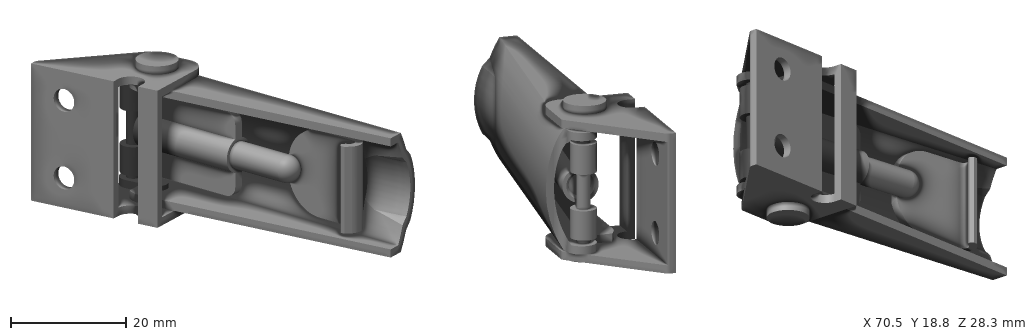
import cadquery as cq
import math


sheet = 1.5
pivot_x = 19.45
pivot_y = 10.1
hinge_x = 13.05
hinge_y = 12.5
lever_tilt = 7.5
slope = math.tan(math.radians(lever_tilt))

bracket_length = 25.9
bracket_height = 16.15
bracket_half_width = 12.65
bracket_slant_x = 14.1
bracket_slant_y = 1.5
bracket_top_round = 3.75
bracket_corner_round = 1.0
keeper_slot_width = 5.0
keeper_slot_height = 4.0
screw_hole_diameter = 4.2
screw_hole_x = 6.75
screw_hole_z = 7.15

stud_diameter = 4.0
stud_head_diameter = 7.5
stud_head_height = 1.5
stud_end_z = 8.6

lever_half_width = 11.0
lever_end_x = 70.5
lever_bottom_y = 5.05
lever_back_x = 14.87
back_rise = 6.46
shoulder_rise = 3.35
lug_radius = 2.63
lug_center_y = 12.83
lug_fillet = lever_back_x - hinge_x
neck_x = 16.3
hinge_pin_diameter = 2.5

thumb_start_x = 58.0
thumb_crest_y = 12.95
thumb_edge_y = 11.47
thumb_edge_z = 6.07
thumb_inner_edge_y = 10.14
thumb_inner_edge_z = 5.0
thumb_flank_drop = 1.95

pad_start = 41.6
pad_end = 48.4
pad_half_width = 8.6
pad_depth = 0.85

knuckle_radius = 2.33
knuckle_inner_z = 3.3
knuckle_outer_z = 8.6
plate_half_width = 7.75
plate_thickness = 1.8
plate_corner_round = 2.0
tube_start = 2.6
tube_end = 23.75
tube_diameter = 6.4
tube_bore = 4.0
bore_mouth_diameter = 5.0
bore_mouth_depth = 0.5

rod_diameter = 5.0
rod_tip = 37.15
claw_half_width = 8.0
claw_start_x = 46.8
claw_corner_round = 7.0
claw_thickness = 1.4
curl_x = 61.0
curl_y = 6.6
curl_inner_radius = 1.0
curl_outer_radius = curl_inner_radius + claw_thickness
hook_left_x = 60.45
hook_top_y = 4.97
hook_shoulder_y = 4.6
hook_foot_start_x = 60.9
hook_foot_end_x = 61.65
hook_foot_y = 4.05


def extrude_both_sides(sketch, half_width):
    return sketch.extrude(half_width, both=True)


def onto_slope(shape):
    """Move a shape built along X from the origin onto the slope at the hinge axis."""
    return shape.rotate((0, 0, 0), (0, 0, 1), -lever_tilt).translate((hinge_x, hinge_y, 0))


def mirrored_rod(x, y, diameter, inner_z, outer_z):
    """Two equal round bars along Z, one on each side of Z = 0."""
    bar = cq.Workplane("XY", origin=(x, y, inner_z)).circle(diameter / 2).extrude(outer_z - inner_z)
    return bar.union(bar.mirror("XY"))


def arched_section(plane_x, length, crest_y, edge_y, half_width, foot_y, foot_half_width):
    """Bar along X with an arched top, its flanks running from the arch edges to the foot."""
    return (
        cq.Workplane("YZ", origin=(plane_x, 0, 0))
        .moveTo(foot_y, -foot_half_width)
        .lineTo(edge_y, -half_width)
        .threePointArc((crest_y, 0), (edge_y, half_width))
        .lineTo(foot_y, foot_half_width)
        .close()
        .extrude(length)
    )


def make_bracket():
    side = (
        cq.Workplane("XY")
        .polyline([
            (0, 0),
            (bracket_length, 0),
            (bracket_length, bracket_height),
            (bracket_slant_x, bracket_height),
            (0, bracket_slant_y),
        ])
        .close()
    )
    bracket = extrude_both_sides(side, bracket_half_width)
    bracket = bracket.edges("|Z").edges(">X and >Y").fillet(bracket_top_round)
    margin = 0.1
    slant_ends = cq.selectors.BoxSelector(
        (-margin, bracket_slant_y - margin, -margin),
        (bracket_slant_x + margin, bracket_height + margin, margin),
    )
    bracket = bracket.edges("|Z").edges(slant_ends).fillet(bracket_corner_round)

    inside_half_width = bracket_half_width - sheet
    inside = cq.Workplane("XY").box(
        3 * bracket_length, bracket_height, 2 * inside_half_width, centered=(True, False, True)
    )
    bracket = bracket.cut(inside.translate((0, sheet, 0)))

    slot_radius = keeper_slot_width / 2
    slot = (
        cq.Workplane("XY")
        .moveTo(pivot_x - slot_radius, 0)
        .lineTo(pivot_x - slot_radius, keeper_slot_height - slot_radius)
        .threePointArc(
            (pivot_x, keeper_slot_height),
            (pivot_x + slot_radius, keeper_slot_height - slot_radius),
        )
        .lineTo(pivot_x + slot_radius, 0)
        .close()
    )
    bracket = bracket.cut(extrude_both_sides(slot, bracket_half_width))

    screw_holes = (
        cq.Workplane("XZ")
        .pushPoints([(screw_hole_x, -screw_hole_z), (screw_hole_x, screw_hole_z)])
        .circle(screw_hole_diameter / 2)
        .extrude(-sheet)
    )
    bracket = bracket.cut(screw_holes)

    shanks = mirrored_rod(pivot_x, pivot_y, stud_diameter, stud_end_z, bracket_half_width)
    heads = mirrored_rod(
        pivot_x, pivot_y, stud_head_diameter,
        bracket_half_width, bracket_half_width + stud_head_height,
    )
    return bracket.union(shanks).union(heads)


def lever_side_outline():
    """Side outline: round neck about the pivot, hinge lug, and a back left tall for trimming."""
    neck_radius = pivot_y - lever_bottom_y
    neck_y = pivot_y - math.sqrt(neck_radius**2 - (pivot_x - neck_x)**2)
    mid_angle = (math.asin((pivot_x - neck_x) / neck_radius)) / 2
    neck_mid = (
        pivot_x - neck_radius * math.sin(mid_angle),
        pivot_y - neck_radius * math.cos(mid_angle),
    )
    lug_top = lug_center_y + lug_radius
    lug_bottom = lug_center_y - lug_radius
    fillet_reach = lug_fillet * math.sqrt(0.5)
    above_back = hinge_y + 2 * back_rise
    return (
        cq.Workplane("XY")
        .moveTo(pivot_x, lever_bottom_y)
        .lineTo(lever_end_x, lever_bottom_y)
        .lineTo(lever_end_x, above_back)
        .lineTo(lever_back_x, above_back)
        .lineTo(lever_back_x, lug_top + lug_fillet)
        .threePointArc(
            (hinge_x + fillet_reach, lug_top + lug_fillet - fillet_reach), (hinge_x, lug_top)
        )
        .threePointArc((hinge_x - lug_radius, lug_center_y), (hinge_x, lug_bottom))
        .lineTo(neck_x, lug_bottom)
        .lineTo(neck_x, neck_y)
        .threePointArc(neck_mid, (pivot_x, lever_bottom_y))
        .close()
    )


def inner_back_rise(z):
    """Height of the inner surface of the lever's back above the hinge axis at the offset z."""
    arch_height = back_rise - shoulder_rise
    arch_radius = (lever_half_width**2 + arch_height**2) / (2 * arch_height)
    return back_rise - arch_radius + math.sqrt((arch_radius - sheet)**2 - z**2)


def make_backing_pad():
    overlap = sheet / 2
    crest = back_rise - sheet
    edge = inner_back_rise(pad_half_width)
    pad = (
        cq.Workplane("YZ", origin=(pad_start, 0, 0))
        .moveTo(edge, -pad_half_width)
        .threePointArc((crest - pad_depth, 0), (edge, pad_half_width))
        .lineTo(edge + overlap, pad_half_width)
        .threePointArc((crest + overlap, 0), (edge + overlap, -pad_half_width))
        .close()
        .extrude(pad_end - pad_start)
    )
    return onto_slope(pad)


def make_lever():
    overrun = 10.0
    length = lever_end_x + overrun
    foot = -2 * back_rise
    inner_half_width = lever_half_width - sheet
    inner_shoulder = inner_back_rise(inner_half_width)

    envelope = onto_slope(arched_section(
        -overrun, length, back_rise, shoulder_rise, lever_half_width, foot, lever_half_width
    ))
    hollow = onto_slope(arched_section(
        -overrun, length, back_rise - sheet, inner_shoulder, inner_half_width, foot, inner_half_width
    ))
    thumb_length = lever_end_x - thumb_start_x
    thumb_rest = arched_section(
        thumb_start_x, thumb_length, thumb_crest_y, thumb_edge_y, thumb_edge_z,
        thumb_edge_y - thumb_flank_drop, thumb_edge_z + thumb_flank_drop,
    )
    thumb_hollow = arched_section(
        thumb_start_x, thumb_length, thumb_crest_y - sheet, thumb_inner_edge_y, thumb_inner_edge_z,
        thumb_inner_edge_y - thumb_flank_drop, thumb_inner_edge_z + thumb_flank_drop,
    )

    outside = envelope.union(thumb_rest)
    lever = extrude_both_sides(lever_side_outline(), lever_half_width).intersect(outside)
    lever = lever.cut(hollow).cut(thumb_hollow).union(make_backing_pad())

    pivot_hole = cq.Workplane("XY").center(pivot_x, pivot_y).circle(stud_diameter / 2)
    lever = lever.cut(extrude_both_sides(pivot_hole, lever_half_width))

    hinge_pin = cq.Workplane("XY").center(hinge_x, hinge_y).circle(hinge_pin_diameter / 2)
    return lever.union(extrude_both_sides(hinge_pin, lever_half_width))


def make_yoke():
    plate = (
        cq.Workplane("XZ")
        .rect(2 * tube_end, 2 * plate_half_width)
        .extrude(plate_thickness / 2, both=True)
        .edges("|Y and >X")
        .fillet(plate_corner_round)
    )
    behind_hinge = cq.Workplane("XY").box(
        2 * tube_end, 2 * tube_diameter, 2 * knuckle_outer_z
    ).translate((-tube_end, 0, 0))
    gap = cq.Workplane("XY").box(2 * tube_start, 2 * tube_diameter, 2 * knuckle_inner_z)
    tube = (
        cq.Workplane("YZ", origin=(tube_start, 0, 0))
        .circle(tube_diameter / 2)
        .extrude(tube_end - tube_start)
    )
    bore = (
        cq.Workplane("XY")
        .moveTo(tube_start, 0)
        .lineTo(tube_start, bore_mouth_diameter / 2)
        .lineTo(tube_start + bore_mouth_depth, tube_bore / 2)
        .lineTo(tube_end, tube_bore / 2)
        .lineTo(tube_end, 0)
        .close()
        .revolve(360, (0, 0, 0), (1, 0, 0))
    )
    knuckles = mirrored_rod(0, 0, 2 * knuckle_radius, knuckle_inner_z, knuckle_outer_z)
    pin_hole = extrude_both_sides(cq.Workplane("XY").circle(hinge_pin_diameter / 2), knuckle_outer_z)
    yoke = plate.cut(behind_hinge).union(knuckles).cut(gap).union(tube)
    return onto_slope(yoke.cut(bore).cut(pin_hole))


def make_rod():
    """Rod with a domed tip and a thinner shank that fills the bore of the yoke's tube."""
    radius = rod_diameter / 2
    dome_start = rod_tip - radius
    dome_reach = radius * math.sqrt(0.5)
    rod = (
        cq.Workplane("XY")
        .moveTo(tube_start + bore_mouth_depth, 0)
        .lineTo(tube_start + bore_mouth_depth, tube_bore / 2)
        .lineTo(tube_end, tube_bore / 2)
        .lineTo(tube_end, radius)
        .lineTo(dome_start, radius)
        .threePointArc((dome_start + dome_reach, dome_reach), (rod_tip, 0))
        .close()
        .revolve(360, (0, 0, 0), (1, 0, 0))
    )
    return onto_slope(rod)


def make_claw():
    run = curl_x - claw_start_x

    def on_curl(radius, degrees):
        angle = math.radians(degrees)
        return (curl_x + radius * math.cos(angle), curl_y + radius * math.sin(angle))

    flat_end = 90 - lever_tilt
    inner_start = on_curl(curl_inner_radius, flat_end)
    outer_start = on_curl(curl_outer_radius, flat_end)
    profile = (
        cq.Workplane("XY")
        .moveTo(inner_start[0] - run, inner_start[1] + run * slope)
        .lineTo(*inner_start)
        .threePointArc(on_curl(curl_inner_radius, 0), on_curl(curl_inner_radius, -90))
        .lineTo(hook_left_x, hook_top_y)
        .lineTo(hook_left_x, hook_shoulder_y)
        .lineTo(hook_foot_start_x, hook_foot_y)
        .lineTo(hook_foot_end_x, hook_foot_y)
        .lineTo(*on_curl(curl_outer_radius, -45))
        .threePointArc(on_curl(curl_outer_radius, 0), outer_start)
        .lineTo(outer_start[0] - run, outer_start[1] + run * slope)
        .close()
    )
    claw = extrude_both_sides(profile, claw_half_width)
    blank = (
        cq.Workplane("XZ")
        .rect(2 * lever_end_x, 2 * claw_half_width)
        .extrude(-2 * bracket_height)
        .edges("|Y and <X")
        .fillet(claw_corner_round)
        .translate((claw_start_x + lever_end_x, 0, 0))
    )
    return claw.intersect(blank).union(make_rod())


bracket = make_bracket()
lever = make_lever()
yoke = make_yoke()
claw = make_claw()

bodies = [body.solids().val() for body in (bracket, lever, yoke, claw)]
result = cq.Compound.makeCompound(bodies)